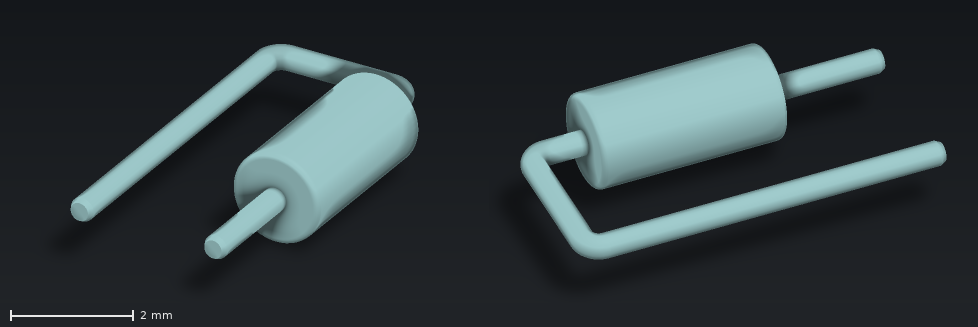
import cadquery as cq

body_diameter = 1.65
body_length = 3.305
body_edge_radius = 0.1

wire_diameter = 0.43
lead_pitch = 2.54
straight_lead_length = 2.0
overall_length = 6.52
bend_radius = 0.3
tip_chamfer_length = 0.1
tip_chamfer_width = 0.05

body_start = straight_lead_length
fold_y = overall_length - wire_diameter / 2


def make_body():
    """Cylinder with both end edges rounded."""
    cylinder = (
        cq.Workplane("XZ", origin=(0, body_start, 0))
        .circle(body_diameter / 2)
        .extrude(-body_length)
    )
    return cylinder.edges("%CIRCLE").fillet(body_edge_radius)


def make_wire():
    """Wire through the body axis, bent twice to run back parallel to it."""
    fold_path = (
        cq.Workplane("XY")
        .lineTo(0, fold_y - bend_radius)
        .radiusArc((-bend_radius, fold_y), -bend_radius)
        .lineTo(bend_radius - lead_pitch, fold_y)
        .radiusArc((-lead_pitch, fold_y - bend_radius), -bend_radius)
        .lineTo(-lead_pitch, 0)
    )
    wire = cq.Workplane("XZ").circle(wire_diameter / 2).sweep(fold_path)
    return wire.faces("<Y").edges().chamfer(tip_chamfer_length, tip_chamfer_width)


result = make_body().union(make_wire())